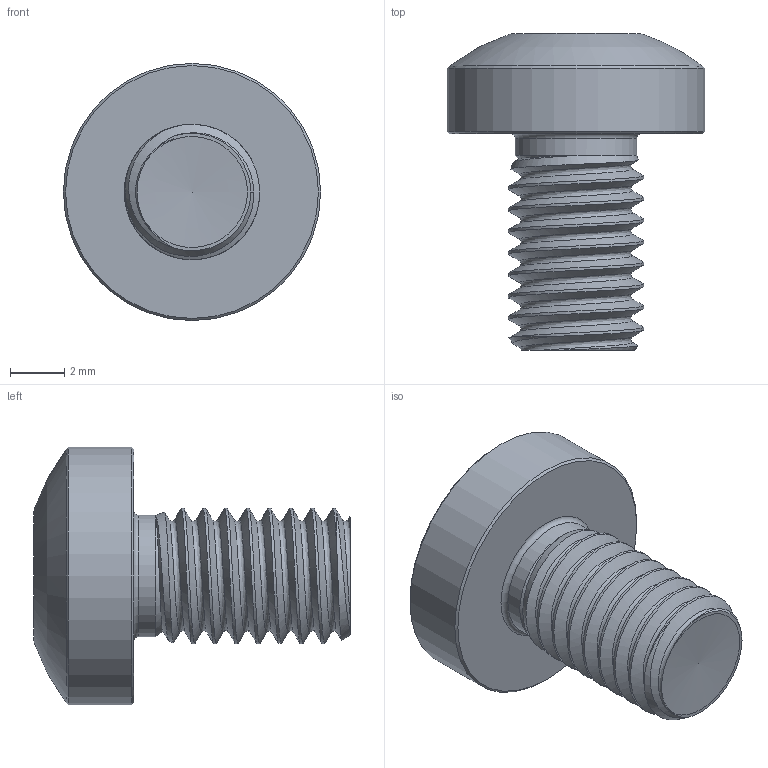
import cadquery as cq
import math


head_radius = 4.75
head_height = 3.7
head_rim_height = 2.5
head_flat_radius = 2.4
head_edge_chamfer = 0.08

shank_length = 8.0
neck_radius = 2.24
neck_length = 0.8
neck_fillet = 0.18
neck_cone_length = 0.3

pitch = 0.8
major_radius = 2.5
root_radius = 2.03
crest_width = pitch / 8
flank_angle = math.radians(30)
flank_slope = math.tan(flank_angle)
root_round = 0.1443 * pitch
runout_length = 0.75
tip_radius = 2.17
tip_chamfer_length = 0.5
tip_dish_radius = 2.05
tip_dish_depth = 0.1

cutter_overshoot = 0.04
rod_overhang = 3.0


def dome_midpoint(outer, inner):
    """Point halfway along the spherical arc, centred on the screw axis, between two profile points."""
    (r1, h1), (r2, h2) = outer, inner
    center = (r1**2 - r2**2 + h1**2 - h2**2) / (2 * (h1 - h2))
    sphere_radius = math.hypot(r1, h1 - center)
    angle = (math.atan2(h1 - center, r1) + math.atan2(h2 - center, r2)) / 2
    return sphere_radius * math.cos(angle), center + sphere_radius * math.sin(angle)


def make_head():
    """Domed head with a flat top, revolved about the screw axis."""
    rim_edge = (head_radius - head_edge_chamfer, head_rim_height)
    flat_edge = (head_flat_radius, head_height)
    profile = (
        cq.Workplane("XY")
        .moveTo(0, 0)
        .lineTo(head_radius - head_edge_chamfer, 0)
        .lineTo(head_radius, head_edge_chamfer)
        .lineTo(head_radius, head_rim_height - head_edge_chamfer)
        .lineTo(*rim_edge)
        .threePointArc(dome_midpoint(rim_edge, flat_edge), flat_edge)
        .lineTo(0, head_height)
        .close()
    )
    return profile.revolve(360, (0, 0, 0), (0, 1, 0))


def make_neck():
    """Plain neck that flares into the underside of the head and tapers into the thread root."""
    diagonal = neck_fillet * (1 - math.sqrt(0.5))
    profile = (
        cq.Workplane("XY")
        .moveTo(0, 0)
        .lineTo(neck_radius + neck_fillet, 0)
        .threePointArc((neck_radius + diagonal, -diagonal), (neck_radius, -neck_fillet))
        .lineTo(neck_radius, -neck_length)
        .lineTo(root_radius, -neck_length - neck_cone_length)
        .lineTo(0, -neck_length - neck_cone_length)
        .close()
    )
    return profile.revolve(360, (0, 0, 0), (0, 1, 0))


def make_tip_dish():
    """Shallow conical hollow in the end of the shank."""
    profile = (
        cq.Workplane("XY")
        .moveTo(0, -shank_length)
        .lineTo(tip_dish_radius, -shank_length)
        .lineTo(0, -shank_length + tip_dish_depth)
        .close()
    )
    return profile.revolve(360, (0, 0, 0), (0, 1, 0))


def make_thread_blank():
    """Solid of revolution that bounds the thread, tapered at the neck and at the tip."""
    profile = (
        cq.Workplane("XY")
        .moveTo(0, -neck_length)
        .lineTo(neck_radius, -neck_length)
        .lineTo(major_radius, -neck_length - runout_length)
        .lineTo(major_radius, -shank_length + tip_chamfer_length)
        .lineTo(tip_radius, -shank_length)
        .lineTo(0, -shank_length)
        .close()
    )
    return profile.revolve(360, (0, 0, 0), (0, 1, 0))


def make_groove_cutter():
    """Helical cutter for the thread groove; the crests cross +X at whole pitches from the head."""
    outer_radius = major_radius + cutter_overshoot
    outer_half_width = (pitch - crest_width) / 2 + cutter_overshoot * flank_slope
    tangent_radius = root_radius + root_round * (1 - math.sin(flank_angle))
    tangent_half_width = (pitch - crest_width) / 2 - (major_radius - tangent_radius) * flank_slope

    start = -pitch / 2
    turns = math.ceil(shank_length / pitch) + 1
    path = cq.Wire.makeHelix(pitch, turns * pitch, outer_radius, cq.Vector(0, 0, start))
    cutter = (
        cq.Workplane("XZ")
        .moveTo(outer_radius, start - outer_half_width)
        .lineTo(tangent_radius, start - tangent_half_width)
        .threePointArc((root_radius, start), (tangent_radius, start + tangent_half_width))
        .lineTo(outer_radius, start + outer_half_width)
        .close()
        .sweep(cq.Workplane(path), isFrenet=True)
    )
    return cutter.rotate((0, 0, 0), (1, 0, 0), 90)


def make_thread():
    """Threaded rod, longer than the shank at both ends, trimmed to the tapered blank."""
    rod = (
        cq.Workplane("XZ", origin=(0, rod_overhang, 0))
        .circle(major_radius)
        .extrude(shank_length + 2 * rod_overhang)
    )
    return rod.cut(make_groove_cutter()).intersect(make_thread_blank())


result = make_head().union(make_neck()).union(make_thread()).cut(make_tip_dish())